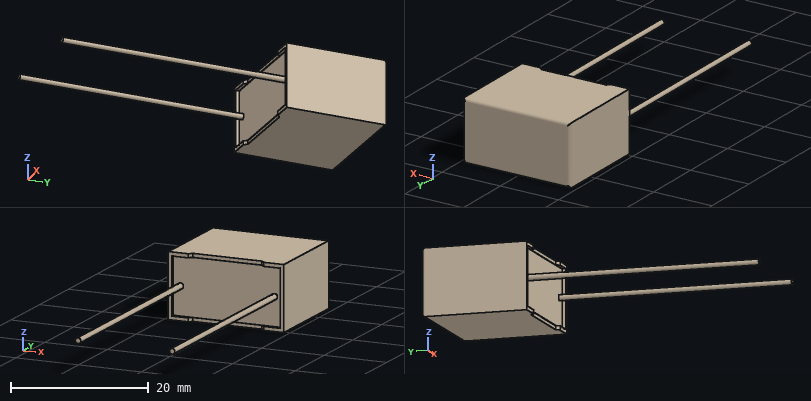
import cadquery as cq

total_length = 51.1
case_width = 18.5
case_height = 10.2
case_length = 16.05

wall = 0.6
back_edge_radius = 0.5
notch_depth = 0.5
notch_floor_width = 11.05

resin_recess = 0.55
lead_diameter = 0.9
lead_spacing = 15.0

back_y = total_length / 2
open_y = back_y - case_length
lead_tip_y = -total_length / 2
resin_y = open_y + resin_recess
resin_length = case_length - resin_recess - wall
cavity_width = case_width - 2 * wall
cavity_height = case_height - 2 * wall


def block(width, height, start_y, length):
    """Box centred on the Y axis that starts at start_y and runs toward +Y."""
    return cq.Workplane("XY").box(width, length, height).translate((0, start_y + length / 2, 0))


def make_notch():
    """Trapezoid with 45 degree ends, cut through both broad walls at the open end."""
    half_floor = notch_floor_width / 2
    half_mouth = half_floor + notch_depth
    return (
        cq.Workplane("XY")
        .polyline([
            (-half_mouth, open_y),
            (half_mouth, open_y),
            (half_floor, open_y + notch_depth),
            (-half_floor, open_y + notch_depth),
        ])
        .close()
        .extrude(case_height / 2, both=True)
    )


def make_case():
    """Cup with rounded back edges and a notch in each broad wall."""
    shell = block(case_width, case_height, open_y, case_length)
    shell = shell.faces(">Y").edges().fillet(back_edge_radius)
    cavity = block(cavity_width, cavity_height, open_y, case_length - wall)
    return shell.cut(cavity).cut(make_notch())


def make_lead(x):
    """Straight round wire that ends flush against the resin face."""
    return (
        cq.Workplane("XZ", origin=(x, resin_y, 0))
        .circle(lead_diameter / 2)
        .extrude(resin_y - lead_tip_y)
    )


case = make_case()
resin = block(cavity_width, cavity_height, resin_y, resin_length)
leads = [make_lead(side * lead_spacing / 2) for side in (-1, 1)]

result = cq.Compound.makeCompound([case.val(), resin.val(), *[lead.val() for lead in leads]])